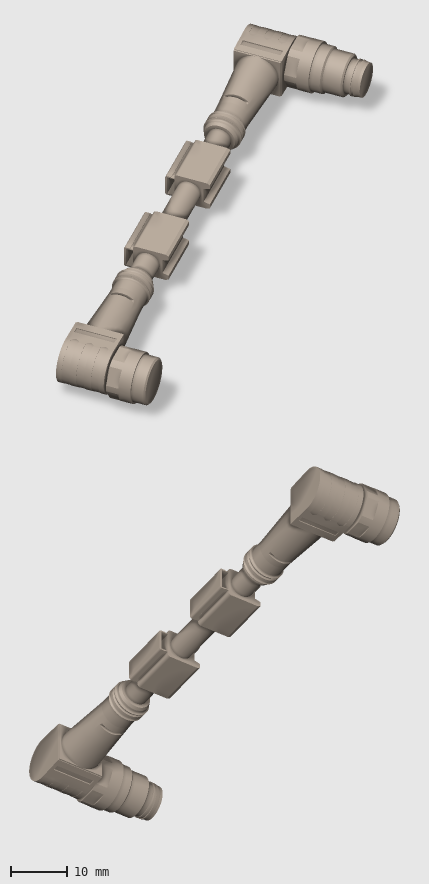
import cadquery as cq
import math

OVERALL_LENGTH = 96.6
NUT_DIA = 9.6
PLUG_OFFSET = (OVERALL_LENGTH - NUT_DIA) / 2

HOUSING_WIDTH = 9.1
HOUSING_RADIUS = 8.8 / 2
HOUSING_REACH = 5.5
END_PLATE_THICKNESS = 0.3
END_PLATE_INSET = 0.1
HOUSING_END_HEIGHT = 8.3
CABLE_X = HOUSING_WIDTH / 2

GRIP_COUNT = 3
GRIP_PITCH = 2.8
GRIP_WIDTH = 1.45
GRIP_DEPTH = 0.06
GRIP_SHOULDER = 0.01
GRIP_PEAK = 0.07
GRIP_REACH = 1.45

RECESS_LENGTH = 7.6
RECESS_WIDTH = 1.2
RECESS_OFFSET = 3.2
RECESS_FLOOR = 4.1

SLEEVE_BASE_DIA = 8.1
SLEEVE_DIA = 6.5
RIB_DIA = 7.2
SLEEVE_END_DIA = 5.9
SLEEVE_TAPER_END = 17.5
MIDDLE_RIB_POSITION = 21.35
MIDDLE_RIB_WIDTH = 0.6
VALLEY_DIA = 6.7
VALLEY_OFFSET = 0.5
BEAD_OFFSET = 1.0
BEAD_FOOT_OFFSET = 1.4
TAIL_SHOULDER = 23.1
SLEEVE_END = 23.7
NOTCH_START = 15.5
NOTCH_WIDTH = 0.6
NOTCH_FLOOR = 2.4
CABLE_DIA = 4.4

NECK_DIA = 5.8
NUT_LENGTH = 4.6
NUT_FLAT_LENGTH = 2.3
NUT_ACROSS_FLATS = 8.9
FLAT_ROTATION = 30
COLLAR_DIA = 8.8
EDGE_CHAMFER = 0.3

MALE_NUT_X = 9.4
MALE_COLLAR_LENGTH = 2.3
BARREL_DIA = 8.0
BARREL_END_X = 20.1
MALE_END_X = 23.2
TIP_DIA = 6.5
TIP_RING_DIA = 6.9
RING_START_X = 21.2
RING_WIDTH = 0.3
SNAP_START_X = 21.9
SNAP_WIDTH = 0.8

FEMALE_NUT_X = 9.7
FEMALE_COLLAR_LENGTH = 2.6

CLIP_LENGTH = 9.95
CLIP_GAP = 10.0
CLIP_HEIGHT = 6.1
CLIP_WALL_X = 1.7
CLIP_BODY_END_X = 7.3
CLIP_EDGE_RADIUS = 0.6
LABEL_HEIGHT = 4.4
LABEL_PLATE = 0.4
LABEL_LIP_X = 1.2
LABEL_LIP_STEP = 0.1
WINDOW_HEIGHT = 3.9
FLANGE_END_X = 8.5
FLANGE_TOP_X = 7.9
FLANGE_EDGE_DROP = 0.3
FLANGE_TIP_Z = 1.8
FLANGE_ROOT_Z = 1.5


def turned(points):
    """Solid turned about the plug axis (X) from (x, radius) points."""
    outline = [(points[0][0], 0)] + points + [(points[-1][0], 0)]
    return cq.Workplane("XY").polyline(outline).close().revolve(360, (0, 0), (1, 0))


def housing():
    end_half = HOUSING_END_HEIGHT / 2
    corner_distance = math.hypot(HOUSING_REACH, end_half)
    tangent_angle = math.atan2(end_half, HOUSING_REACH) + math.acos(HOUSING_RADIUS / corner_distance)
    tangent_y = -HOUSING_RADIUS * math.cos(tangent_angle)
    tangent_z = HOUSING_RADIUS * math.sin(tangent_angle)
    body = (
        cq.Workplane("YZ")
        .moveTo(-HOUSING_REACH, -end_half)
        .lineTo(tangent_y, -tangent_z)
        .threePointArc((HOUSING_RADIUS, 0), (tangent_y, tangent_z))
        .lineTo(-HOUSING_REACH, end_half)
        .close()
        .extrude(HOUSING_WIDTH)
    )
    end_band = cq.Workplane("XY").box(
        HOUSING_WIDTH, END_PLATE_THICKNESS, HOUSING_END_HEIGHT * 2, centered=(True, False, True)
    )
    end_plate = cq.Workplane("XY").box(
        HOUSING_WIDTH - 2 * END_PLATE_INSET,
        END_PLATE_THICKNESS,
        HOUSING_END_HEIGHT - 2 * END_PLATE_INSET,
        centered=(True, False, True),
    )
    body = body.cut(end_band.cut(end_plate).translate((CABLE_X, -HOUSING_REACH, 0)))
    nose_side = cq.Workplane("XY").box(
        HOUSING_WIDTH, NUT_DIA, NUT_DIA + HOUSING_REACH, centered=(False, False, True)
    ).translate((0, -GRIP_REACH, 0))
    for index in range(GRIP_COUNT):
        groove_x = CABLE_X + (index - (GRIP_COUNT - 1) / 2) * GRIP_PITCH
        body = body.cut(grip_groove(groove_x).intersect(nose_side))
    for side in (-1, 1):
        recess = cq.Workplane("XY").box(
            RECESS_LENGTH, RECESS_WIDTH, RECESS_FLOOR, centered=(True, True, False)
        )
        if side < 0:
            recess = recess.mirror("XY")
        body = body.cut(recess.translate((CABLE_X, -RECESS_OFFSET, side * RECESS_FLOOR)))
    return body


def grip_groove(groove_x):
    """Ring cutter with a peaked rim, so that each groove runs out in a point on the sloping sides."""
    half_width = GRIP_WIDTH / 2
    floor_radius = HOUSING_RADIUS - GRIP_DEPTH
    shoulder_radius = HOUSING_RADIUS + GRIP_SHOULDER
    return turned([
        (groove_x - half_width, shoulder_radius),
        (groove_x, HOUSING_RADIUS + GRIP_PEAK),
        (groove_x + half_width, shoulder_radius),
    ]).cut(turned([
        (groove_x - half_width, floor_radius),
        (groove_x + half_width, floor_radius),
    ]))


def sleeve():
    """Strain relief, drawn as (radius, distance) and turned about the cable axis."""
    sleeve_radius = SLEEVE_DIA / 2
    rib_radius = RIB_DIA / 2
    valley_radius = VALLEY_DIA / 2
    middle = -MIDDLE_RIB_POSITION
    along_cable = (0, -1)
    outline = (
        cq.Workplane("XY")
        .moveTo(0, -HOUSING_REACH)
        .lineTo(SLEEVE_BASE_DIA / 2, -HOUSING_REACH)
        .lineTo(sleeve_radius, -SLEEVE_TAPER_END)
        .lineTo(sleeve_radius, middle + BEAD_FOOT_OFFSET)
        .spline(
            [(rib_radius, middle + BEAD_OFFSET), (valley_radius, middle + VALLEY_OFFSET)],
            tangents=[along_cable, along_cable],
            includeCurrent=True,
        )
        .lineTo(rib_radius, middle + MIDDLE_RIB_WIDTH / 2)
        .lineTo(rib_radius, middle - MIDDLE_RIB_WIDTH / 2)
        .lineTo(valley_radius, middle - VALLEY_OFFSET)
        .spline(
            [(rib_radius, middle - BEAD_OFFSET), (sleeve_radius, middle - BEAD_FOOT_OFFSET)],
            tangents=[along_cable, along_cable],
            includeCurrent=True,
        )
        .lineTo(sleeve_radius, -TAIL_SHOULDER)
        .lineTo(SLEEVE_END_DIA / 2, -SLEEVE_END)
        .lineTo(0, -SLEEVE_END)
        .close()
    )
    body = outline.revolve(360, (0, 0), (0, 1))
    notch = cq.Workplane("XY").box(
        SLEEVE_BASE_DIA, NOTCH_WIDTH, SLEEVE_BASE_DIA, centered=(True, False, False)
    )
    notch = notch.translate((0, -NOTCH_START - NOTCH_WIDTH, NOTCH_FLOOR))
    body = body.cut(notch).cut(notch.mirror("XY"))
    return body.translate((CABLE_X, 0, 0))


def nut(start_x):
    body = cq.Workplane("YZ").circle(NUT_DIA / 2).extrude(NUT_LENGTH)
    hexagon = cq.Workplane("YZ").polygon(6, NUT_ACROSS_FLATS, circumscribed=True).extrude(NUT_FLAT_LENGTH)
    hexagon = hexagon.rotate((0, 0, 0), (1, 0, 0), FLAT_ROTATION)
    waste = cq.Workplane("YZ").circle(NUT_DIA).extrude(NUT_FLAT_LENGTH).cut(hexagon)
    neck = cq.Workplane("YZ").circle(NECK_DIA / 2).extrude(start_x - HOUSING_WIDTH)
    return body.cut(waste).translate((start_x, 0, 0)).union(neck.translate((HOUSING_WIDTH, 0, 0)))


def male_front():
    start = MALE_NUT_X + NUT_LENGTH
    collar_end = start + MALE_COLLAR_LENGTH
    tip_radius = TIP_DIA / 2
    ring_radius = TIP_RING_DIA / 2
    ring_end = RING_START_X + RING_WIDTH
    return turned([
        (start, COLLAR_DIA / 2),
        (collar_end - EDGE_CHAMFER, COLLAR_DIA / 2),
        (collar_end, BARREL_DIA / 2),
        (BARREL_END_X - EDGE_CHAMFER, BARREL_DIA / 2),
        (BARREL_END_X, BARREL_DIA / 2 - EDGE_CHAMFER),
        (BARREL_END_X, tip_radius),
        (RING_START_X, tip_radius),
        (RING_START_X, ring_radius),
        (ring_end, ring_radius),
        (ring_end, tip_radius),
        (SNAP_START_X, tip_radius),
        (SNAP_START_X, ring_radius),
        (SNAP_START_X + SNAP_WIDTH, tip_radius),
        (MALE_END_X, tip_radius),
    ])


def female_front():
    start = FEMALE_NUT_X + NUT_LENGTH
    end = start + FEMALE_COLLAR_LENGTH
    return turned([
        (start, COLLAR_DIA / 2),
        (end - EDGE_CHAMFER, COLLAR_DIA / 2),
        (end, COLLAR_DIA / 2 - EDGE_CHAMFER),
    ])


def clip():
    """Label clip: a body round the cable, two flanges on +X and a label window on -X."""
    top = CLIP_HEIGHT / 2
    label_top = LABEL_HEIGHT / 2
    lip_top = label_top - LABEL_LIP_STEP
    upper = (
        cq.Workplane("XZ")
        .lineTo(0, label_top - LABEL_PLATE)
        .radiusArc((LABEL_PLATE, label_top), LABEL_PLATE)
        .lineTo(LABEL_LIP_X, label_top)
        .lineTo(LABEL_LIP_X, lip_top)
        .lineTo(CLIP_WALL_X, lip_top)
        .lineTo(CLIP_WALL_X, top - CLIP_EDGE_RADIUS)
        .radiusArc((CLIP_WALL_X + CLIP_EDGE_RADIUS, top), CLIP_EDGE_RADIUS)
        .lineTo(FLANGE_TOP_X, top)
        .lineTo(FLANGE_END_X, top - FLANGE_EDGE_DROP)
        .lineTo(FLANGE_END_X, FLANGE_TIP_Z)
        .lineTo(CLIP_BODY_END_X, FLANGE_ROOT_Z)
        .lineTo(CLIP_BODY_END_X, 0)
        .close()
        .extrude(-CLIP_LENGTH)
    )
    body = upper.union(upper.mirror("XY"))
    window = cq.Workplane("XY").box(
        CLIP_WALL_X - LABEL_PLATE, CLIP_LENGTH, WINDOW_HEIGHT, centered=(False, False, True)
    )
    return body.cut(window.translate((LABEL_PLATE, 0, 0))).translate((0, CLIP_GAP / 2, 0))


def plug(nut_x, front):
    return housing().union(sleeve()).union(nut(nut_x)).union(front).translate((0, PLUG_OFFSET, 0))


cable = (
    cq.Workplane("XZ").center(CABLE_X, 0).circle(CABLE_DIA / 2)
    .extrude(PLUG_OFFSET - HOUSING_REACH, both=True)
)
result = (
    cable
    .union(plug(MALE_NUT_X, male_front()))
    .union(plug(FEMALE_NUT_X, female_front()).mirror("XZ"))
    .union(clip())
    .union(clip().mirror("XZ"))
)